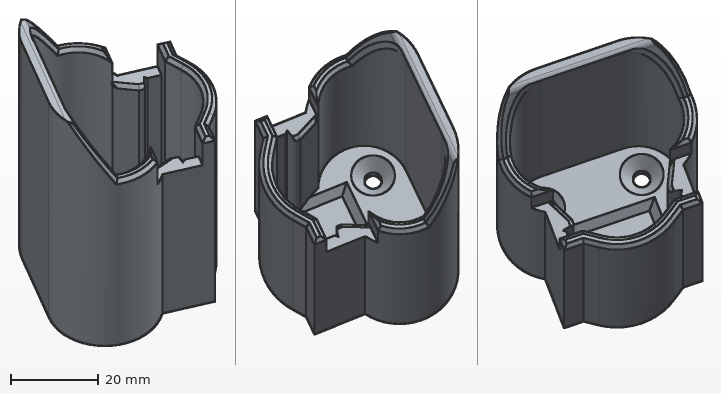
import cadquery as cq
import math

total_height = 69.5
total_depth = 42.75
wall = 3.0

lobe_x = 10.0
lobe_radius = 13.5

neck_half_width = 16.85
shoulder_y = 37.8
bulge_radius = 16.0
bulge_angle = math.radians(35)

rim_z = 53.0
notch_z = 45.0
notch_front_y = 23.1
notch_rear_y = shoulder_y - wall
slope_angle = math.radians(60)
crest_radius = 2.0
edge_chamfer = 1.0
bevel_angle = 45

lip_tip_x = 11.6
lip_front_y = 28.7
lip_rear_y = 30.1
lip_corner_radius = 0.6
groove_x = 14.45
groove_y = 30.8
groove_end_y = 31.45

base_thickness = 3.0
floor_z = 5.0
recess_front_y = 16.6
recess_half_width = 12.9

screw_x = 12.0
screw_y = 10.4
screw_diameter = 4.0
countersink_diameter = 10.0

margin = 0.1

inner_radius = lobe_radius - wall
slope_top_y = wall
slope_foot_y = slope_top_y + (total_height - rim_z) / math.tan(slope_angle)


def neck_start_y():
    """Y where a neck side leaves the outer lobe circle."""
    return lobe_radius + math.sqrt(lobe_radius**2 - (neck_half_width - lobe_x) ** 2)


def lip_root_x():
    """X where a clip lip leaves the inner lobe circle, level with the front of the notch."""
    return lobe_x + math.sqrt(inner_radius**2 - (notch_front_y - lobe_radius) ** 2)


def bulge_points(radius, base_y):
    """Right-hand foot and tangent point of the back bulge, and its apex."""
    centre_y = total_depth - bulge_radius
    tangent_x = radius * math.sin(bulge_angle)
    tangent_y = centre_y + radius * math.cos(bulge_angle)
    foot_x = tangent_x + (tangent_y - base_y) / math.tan(bulge_angle)
    return (foot_x, base_y), (tangent_x, tangent_y), (0, centre_y + radius)


def mirrored(point):
    """The same point on the other side of X = 0."""
    return (-point[0], point[1])


def closed_profile(lobe_r, side_points, bulge_r, base_y):
    """Profile symmetric about X = 0: two front lobes, side walls, back bulge.

    The side points run along the +X side, from the end of the lobe arc to the shoulder.
    """
    foot, tangent, apex = bulge_points(bulge_r, base_y)
    lobe_start = (lobe_x, lobe_radius - lobe_r)
    lobe_side = (lobe_x + lobe_r, lobe_radius)
    profile = cq.Workplane("XY").moveTo(*mirrored(lobe_start)).lineTo(*lobe_start)
    profile = profile.threePointArc(lobe_side, side_points[0])
    for point in side_points[1:]:
        profile = profile.lineTo(*point)
    profile = profile.lineTo(*foot).lineTo(*tangent)
    profile = profile.threePointArc(apex, mirrored(tangent)).lineTo(*mirrored(foot))
    for point in reversed(side_points):
        profile = profile.lineTo(*mirrored(point))
    return profile.threePointArc(mirrored(lobe_side), mirrored(lobe_start)).close()


def make_body():
    """Solid outer shape at full height."""
    side = [
        (neck_half_width, neck_start_y()),
        (neck_half_width, shoulder_y),
    ]
    return closed_profile(lobe_radius, side, bulge_radius, shoulder_y).extrude(total_height)


def make_cavity():
    """Inner space above the base, with a clip lip and groove on each side."""
    inner_half_width = neck_half_width - wall
    side = [
        (lip_root_x(), notch_front_y),
        (lip_tip_x, lip_front_y),
        (lip_tip_x, lip_rear_y),
        (groove_x, groove_y),
        (inner_half_width, groove_end_y),
        (inner_half_width, notch_rear_y),
    ]
    profile = closed_profile(inner_radius, side, bulge_radius - wall, notch_rear_y)
    cavity = profile.extrude(total_height).translate((0, 0, base_thickness))
    for sign in (-1, 1):
        tip = cq.selectors.BoxSelector(
            (sign * lip_tip_x - margin, lip_rear_y - margin, 0),
            (sign * lip_tip_x + margin, lip_rear_y + margin, 2 * total_height),
        )
        cavity = cavity.edges(tip).fillet(lip_corner_radius)
    return cavity


def make_raised_floor():
    """Floor step under the front lobes, with a recess sloping into the rear floor."""
    step = floor_z - base_thickness
    floor = (
        cq.Workplane("XY", origin=(0, 0, base_thickness))
        .rect(2 * total_depth, 2 * lip_front_y)
        .extrude(step)
    )
    recess = (
        cq.Workplane("XY", origin=(0, 0, floor_z))
        .center(0, recess_front_y + total_depth / 2)
        .rect(2 * recess_half_width, total_depth)
        .extrude(-step, taper=bevel_angle)
    )
    return floor.cut(recess)


def trim_top(body):
    """Sloping crest, lower rear rim and the cross notch."""
    clear_z = total_height + wall
    clear_y = total_depth + wall
    profile = [
        (slope_top_y, total_height),
        (slope_foot_y, rim_z),
        (notch_front_y, rim_z),
        (notch_front_y, notch_z),
        (notch_rear_y, notch_z),
        (notch_rear_y, rim_z),
        (clear_y, rim_z),
        (clear_y, clear_z),
        (slope_top_y, clear_z),
    ]
    cutter = cq.Workplane("YZ").polyline(profile).close().extrude(2 * total_depth, both=True)
    return body.cut(cutter)


def chamfer_rims(body):
    """Chamfer all round the rear rim, on the lobe rims and along the two slopes."""
    rear_rim = cq.selectors.BoxSelector(
        (-total_depth, notch_rear_y - margin, rim_z - margin),
        (total_depth, total_depth + margin, rim_z + margin),
    )
    body = body.edges(rear_rim).chamfer(edge_chamfer)
    lobe_rims = cq.selectors.BoxSelector(
        (-total_depth, slope_foot_y + margin, rim_z - margin),
        (total_depth, notch_front_y + margin, rim_z + margin),
    )
    body = body.edges(lobe_rims).chamfer(edge_chamfer)
    slopes = cq.selectors.BoxSelector(
        (-total_depth, slope_top_y + margin, rim_z + margin),
        (total_depth, slope_foot_y - margin, total_height - margin),
    )
    return body.edges(slopes).chamfer(edge_chamfer)


def chamfer_lips(body):
    """Lead-in bevel along the inner face of each clip lip, starting at the notch floor."""
    root_x = lip_root_x()
    lip_angle = math.atan2(root_x - lip_tip_x, lip_front_y - notch_front_y)
    outer_root_x = root_x + edge_chamfer / math.cos(lip_angle)
    outer_tip_x = lip_tip_x + edge_chamfer
    outer_tip_y = notch_front_y + (outer_root_x - outer_tip_x) / math.tan(lip_angle)
    outline = [
        (0, notch_front_y),
        (outer_root_x, notch_front_y),
        (outer_tip_x, outer_tip_y),
        (outer_tip_x, notch_rear_y),
        (0, notch_rear_y),
    ]
    right_bevel = (
        cq.Workplane("XY", origin=(0, 0, notch_z))
        .polyline(outline)
        .close()
        .extrude(-edge_chamfer, taper=bevel_angle)
    )
    return body.cut(right_bevel).cut(right_bevel.mirror("YZ"))


def round_crest(body):
    """Round the corner where the slope meets the flat crest."""
    setback = crest_radius * math.tan(slope_angle / 2)
    flat_end = (slope_top_y - setback, total_height)
    slope_end = (
        slope_top_y + setback * math.cos(slope_angle),
        total_height - setback * math.sin(slope_angle),
    )
    arc_middle = (
        flat_end[0] + crest_radius * math.sin(slope_angle / 2),
        total_height - crest_radius * (1 - math.cos(slope_angle / 2)),
    )
    clear_z = total_height + wall
    cutter = (
        cq.Workplane("YZ")
        .moveTo(*flat_end)
        .threePointArc(arc_middle, slope_end)
        .lineTo(slope_end[0], clear_z)
        .lineTo(flat_end[0], clear_z)
        .close()
        .extrude(total_depth, both=True)
    )
    return body.cut(cutter)


def drill_screw_holes(body):
    """Through holes for countersunk screws, cut from the raised floor."""
    floor = cq.Workplane("XY", origin=(0, 0, floor_z))
    floor = floor.pushPoints([(-screw_x, screw_y), (screw_x, screw_y)])
    bore = floor.circle(screw_diameter / 2).extrude(-floor_z)
    sink_depth = (countersink_diameter - screw_diameter) / 2 / math.tan(math.radians(bevel_angle))
    sink = floor.circle(countersink_diameter / 2).extrude(-sink_depth, taper=bevel_angle)
    return body.cut(bore).cut(sink)


body = make_body().cut(make_cavity().cut(make_raised_floor()))
body = trim_top(body)
body = chamfer_rims(body)
body = chamfer_lips(body)
body = round_crest(body)
result = drill_screw_holes(body)